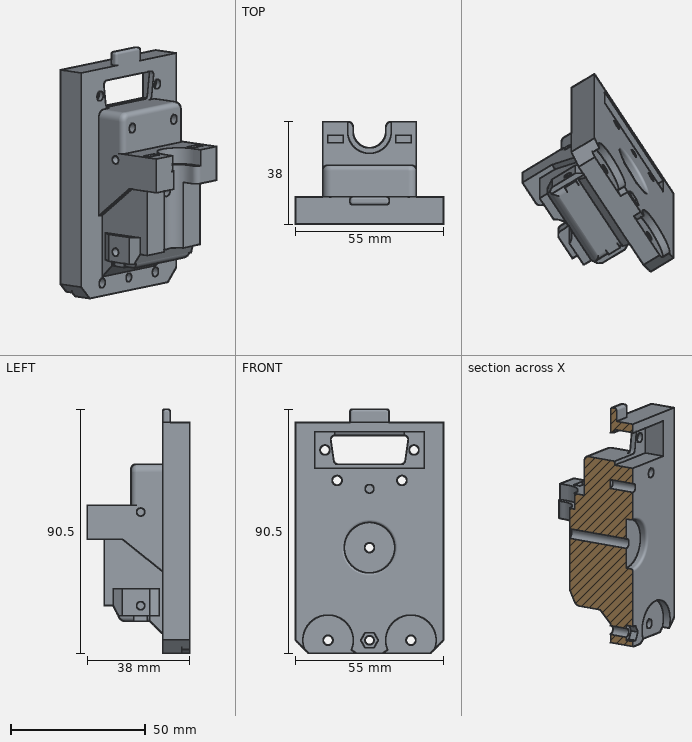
import cadquery as cq
import math

OVERSHOOT = 1.0

PLATE_WIDTH = 55.0
PLATE_HEIGHT = 85.6
PLATE_THICKNESS = 10.1
PLATE_CORNER_CHAMFER = 5.0
FRONT_Y = -PLATE_THICKNESS

TAB_WIDTH = 14.5
TAB_HEIGHT = 4.9
TAB_THICKNESS = 2.9
TAB_ROUNDING = 0.95

RECESS_WIDTH = 40.4
RECESS_HEIGHT = 13.5
RECESS_DEPTH = 8.0
RECESS_CENTER_Z = 75.4
WINDOW_TOP_WIDTH = 29.1
WINDOW_BOTTOM_WIDTH = 26.0
WINDOW_BOTTOM_Z = 70.15
WINDOW_TOP_Z = 80.75
WINDOW_CORNER_RADIUS = 1.5
WINDOW_LIP_RADIUS = 1.3
WINDOW_LIP_WIDTH = 25.6

SCREW_DIAMETER = 3.5
CONNECTOR_HOLE_SPACING = 33.0
UPPER_HOLE_SPACING = 24.0
UPPER_HOLE_Z = 64.1
PIN_HOLE_DIAMETER = 3.2
PIN_HOLE_Z = 61.0
PIN_HOLE_DEPTH = PLATE_THICKNESS

DISC_DIAMETER = 18.7
DISC_DEPTH = 3.0
CENTER_DISC_Z = 39.2
CENTER_DISC_LIP_RADIUS = 1.0
FOOT_DISC_SPACING = 30.7
FOOT_Z = 4.9
FOOT_TONGUE_WIDTH = 15.4
FOOT_TONGUE_CENTER_Z = 9.9
FOOT_TONGUE_RADIUS = 10.9
FOOT_TONGUE_CORNER_Z = 1.5
NUT_ACROSS_CORNERS = 6.5
NUT_DEPTH = 3.0

HOUSING_WIDTH = 34.8
HOUSING_TOP_Z = WINDOW_BOTTOM_Z
HOUSING_DEPTH = 11.75
HOUSING_SIDE_RADIUS = 3.0
HOUSING_REAR_RADIUS = 2.0
ARM_DEPTH = 27.9
ARM_TOP_Z = 55.0
ARM_BOTTOM_Z = 42.3
ARM_SLOPE_START_DEPTH = 14.85
ARM_SLOPE_END_Z = 30.4
SLOT_WIDTH = 5.7
SLOT_LENGTH = 2.7
SLOT_SPACING = 25.1
SLOT_CENTER_Y = 21.45
SLOT_DEPTH = 8.0

BLOCK_WIDTH = 30.6
BLOCK_DEPTH = 21.65
BLOCK_STEP_Z = 17.7
BLOCK_BOTTOM_Z = 11.9
BLOCK_REAR_SLOPE_TOP_Y = 18.3
BLOCK_ROUND_START = (16.4, 14.0)
BLOCK_ROUND_MIDDLE = (15.5, 12.6)
BLOCK_ROUND_END_Y = 14.2
BLOCK_FRONT_SLOPE_Y = 4.65
BLOCK_EDGE_RADIUS = 1.95
BLOCK_ROUNDED_EDGE_SPANS = ((BLOCK_FRONT_SLOPE_Y, 5.7), (10.7, BLOCK_DEPTH))

BOSS_BOTTOM_Z = 13.9
BOSS_TOP_Z = 24.0
BOSS_ROOT_Y = (1.3, 18.3)
BOSS_FACE_Y = (4.75, 14.85)

CHANNEL_RADIUS = 6.0
CHANNEL_SEAT_RADIUS = 8.1
CHANNEL_CENTER_Y = 24.2
CHANNEL_SEAT_DEPTH = 6.0

CROSS_HOLE_DIAMETER = 3.0
CROSS_HOLE_DEPTH = 8.0
CROSS_HOLE_Y = 8.1
CROSS_HOLE_HEIGHTS = (17.7, 52.4)


def box_between(x_range, y_range, z_range):
    size = [high - low for low, high in (x_range, y_range, z_range)]
    box = cq.Workplane("XY").box(*size, centered=False)
    return box.translate((x_range[0], y_range[0], z_range[0]))


def rod_y(x, z, diameter, start_y, end_y):
    """Cylinder along Y."""
    rod = cq.Workplane("XZ").circle(diameter / 2).extrude(start_y - end_y)
    return rod.translate((x, start_y, z))


def side_profile(profile, width):
    """Extrude a closed profile drawn in the YZ plane symmetrically along X."""
    return profile.extrude(width / 2, both=True)


def make_plate():
    plate = cq.Workplane("XY").box(PLATE_WIDTH, PLATE_THICKNESS, PLATE_HEIGHT)
    plate = plate.translate((0, FRONT_Y / 2, PLATE_HEIGHT / 2))
    corners = plate.faces("<Z").edges("|Y")
    return corners.chamfer(PLATE_CORNER_CHAMFER)


def make_tab():
    tab = cq.Workplane("XY").box(TAB_WIDTH, TAB_THICKNESS, TAB_HEIGHT)
    tab = tab.edges("|Z or >Z").fillet(TAB_ROUNDING)
    return tab.translate((0, -TAB_THICKNESS / 2, PLATE_HEIGHT + TAB_HEIGHT / 2))


def make_housing():
    core = box_between(
        (-HOUSING_WIDTH / 2, HOUSING_WIDTH / 2),
        (0, HOUSING_DEPTH),
        (ARM_BOTTOM_Z, HOUSING_TOP_Z),
    )
    core = core.edges("|Y and >Z").fillet(HOUSING_SIDE_RADIUS)
    core = core.faces(">Y").edges("not <Z").fillet(HOUSING_REAR_RADIUS)
    arm = side_profile(
        cq.Workplane("YZ")
        .moveTo(0, ARM_TOP_Z)
        .lineTo(ARM_DEPTH, ARM_TOP_Z)
        .lineTo(ARM_DEPTH, ARM_BOTTOM_Z)
        .lineTo(ARM_SLOPE_START_DEPTH, ARM_BOTTOM_Z)
        .lineTo(0, ARM_SLOPE_END_Z)
        .close(),
        HOUSING_WIDTH,
    )
    return core.union(arm)


def block_outline(width):
    """Lower block shape: stepped rear, rounded heel and 45 degree front slope."""
    return side_profile(
        cq.Workplane("YZ")
        .moveTo(0, ARM_TOP_Z)
        .lineTo(BLOCK_DEPTH, ARM_TOP_Z)
        .lineTo(BLOCK_DEPTH, BLOCK_STEP_Z)
        .lineTo(BLOCK_REAR_SLOPE_TOP_Y, BLOCK_STEP_Z)
        .lineTo(*BLOCK_ROUND_START)
        .threePointArc(BLOCK_ROUND_MIDDLE, (BLOCK_ROUND_END_Y, BLOCK_BOTTOM_Z))
        .lineTo(BLOCK_FRONT_SLOPE_Y, BLOCK_BOTTOM_Z)
        .lineTo(0, BLOCK_BOTTOM_Z - BLOCK_FRONT_SLOPE_Y)
        .close(),
        width,
    )


def make_edge_rounding(start_y, end_y):
    """Cutter that rounds the bottom edge of the block at +X and -X."""
    half_width = BLOCK_WIDTH / 2
    center_x = half_width - BLOCK_EDGE_RADIUS
    center_z = BLOCK_BOTTOM_Z + BLOCK_EDGE_RADIUS
    corner = box_between(
        (center_x, half_width), (start_y, end_y), (BLOCK_BOTTOM_Z, center_z)
    )
    corner = corner.cut(rod_y(center_x, center_z, 2 * BLOCK_EDGE_RADIUS, start_y, end_y))
    return corner.union(corner.mirror("YZ"))


def make_block():
    block = block_outline(BLOCK_WIDTH)
    for start_y, end_y in BLOCK_ROUNDED_EDGE_SPANS:
        block = block.cut(make_edge_rounding(start_y, end_y))
    bosses = (
        cq.Workplane("XY")
        .workplane(offset=BOSS_BOTTOM_Z)
        .moveTo(-BLOCK_WIDTH / 2, BOSS_ROOT_Y[0])
        .lineTo(-HOUSING_WIDTH / 2, BOSS_FACE_Y[0])
        .lineTo(-HOUSING_WIDTH / 2, BOSS_FACE_Y[1])
        .lineTo(-BLOCK_WIDTH / 2, BOSS_ROOT_Y[1])
        .lineTo(BLOCK_WIDTH / 2, BOSS_ROOT_Y[1])
        .lineTo(HOUSING_WIDTH / 2, BOSS_FACE_Y[1])
        .lineTo(HOUSING_WIDTH / 2, BOSS_FACE_Y[0])
        .lineTo(BLOCK_WIDTH / 2, BOSS_ROOT_Y[0])
        .close()
        .extrude(BOSS_TOP_Z - BOSS_BOTTOM_Z)
    )
    return block.union(bosses.intersect(block_outline(HOUSING_WIDTH)))


def make_connector_cutter():
    floor_y = FRONT_Y + RECESS_DEPTH
    recess = box_between(
        (-RECESS_WIDTH / 2, RECESS_WIDTH / 2),
        (FRONT_Y - OVERSHOOT, floor_y),
        (RECESS_CENTER_Z - RECESS_HEIGHT / 2, RECESS_CENTER_Z + RECESS_HEIGHT / 2),
    )
    window = (
        cq.Workplane("XZ")
        .moveTo(-WINDOW_BOTTOM_WIDTH / 2, WINDOW_BOTTOM_Z)
        .lineTo(WINDOW_BOTTOM_WIDTH / 2, WINDOW_BOTTOM_Z)
        .lineTo(WINDOW_TOP_WIDTH / 2, WINDOW_TOP_Z)
        .lineTo(-WINDOW_TOP_WIDTH / 2, WINDOW_TOP_Z)
        .close()
        .extrude(PLATE_THICKNESS)
        .edges("|Y")
        .fillet(WINDOW_CORNER_RADIUS)
    )
    lip_end_y = floor_y + WINDOW_LIP_RADIUS
    lip_end_z = WINDOW_TOP_Z + WINDOW_LIP_RADIUS
    arc_offset = WINDOW_LIP_RADIUS * (1 - math.sqrt(0.5))
    lip = side_profile(
        cq.Workplane("YZ")
        .moveTo(floor_y, WINDOW_TOP_Z)
        .lineTo(lip_end_y, WINDOW_TOP_Z)
        .threePointArc(
            (floor_y + arc_offset, WINDOW_TOP_Z + arc_offset), (floor_y, lip_end_z)
        )
        .close(),
        WINDOW_LIP_WIDTH,
    )
    return recess.union(window).union(lip)


def make_center_disc_cutter():
    """Round recess whose front lip is rounded outward."""
    radius = DISC_DIAMETER / 2
    lip_y = FRONT_Y + CENTER_DISC_LIP_RADIUS
    floor_y = FRONT_Y + DISC_DEPTH
    arc_offset = CENTER_DISC_LIP_RADIUS * (1 - math.sqrt(0.5))
    profile = (
        cq.Workplane("XY")
        .moveTo(0, FRONT_Y)
        .lineTo(radius + CENTER_DISC_LIP_RADIUS, FRONT_Y)
        .threePointArc((radius + arc_offset, FRONT_Y + arc_offset), (radius, lip_y))
        .lineTo(radius, floor_y)
        .lineTo(0, floor_y)
        .close()
    )
    return profile.revolve(360, (0, 0, 0), (0, 1, 0)).translate((0, 0, CENTER_DISC_Z))


def make_foot_cutter():
    """Two round recesses that leave a tongue with arched lower corners between them."""
    floor_y = FRONT_Y + DISC_DEPTH
    cutter = box_between(
        (-FOOT_TONGUE_WIDTH / 2, FOOT_TONGUE_WIDTH / 2),
        (FRONT_Y, floor_y),
        (0, FOOT_TONGUE_CORNER_Z),
    )
    arch = rod_y(0, FOOT_TONGUE_CENTER_Z, 2 * FOOT_TONGUE_RADIUS, FRONT_Y, floor_y)
    cutter = cutter.cut(arch)
    for side in (-1, 1):
        disc = rod_y(side * FOOT_DISC_SPACING / 2, FOOT_Z, DISC_DIAMETER, FRONT_Y, floor_y)
        cutter = cutter.union(disc)
    return cutter


def make_nut_pocket():
    pocket = cq.Workplane("XZ").polygon(6, NUT_ACROSS_CORNERS).extrude(-NUT_DEPTH)
    return pocket.translate((0, FRONT_Y, FOOT_Z))


def channel_slot(radius, bottom_z, top_z):
    """U-shaped slot along Z, open to the rear."""
    rear_y = ARM_DEPTH + OVERSHOOT
    return (
        cq.Workplane("XY")
        .workplane(offset=bottom_z)
        .moveTo(-radius, rear_y)
        .lineTo(-radius, CHANNEL_CENTER_Y)
        .threePointArc((0, CHANNEL_CENTER_Y - radius), (radius, CHANNEL_CENTER_Y))
        .lineTo(radius, rear_y)
        .close()
        .extrude(top_z - bottom_z)
    )


def make_channel_cutter():
    """Rear channel: a wide seat at the top of the arm over a narrower throat."""
    throat = channel_slot(CHANNEL_RADIUS, 0, ARM_TOP_Z)
    seat = channel_slot(CHANNEL_SEAT_RADIUS, ARM_TOP_Z - CHANNEL_SEAT_DEPTH, ARM_TOP_Z)
    lip_radius = CHANNEL_SEAT_RADIUS - CHANNEL_RADIUS
    center_y = ARM_DEPTH - lip_radius
    lip = box_between(
        (CHANNEL_RADIUS, CHANNEL_SEAT_RADIUS),
        (center_y, ARM_DEPTH),
        (ARM_BOTTOM_Z, ARM_TOP_Z),
    )
    lip_round = cq.Workplane("XY").circle(lip_radius).extrude(ARM_TOP_Z)
    lip = lip.cut(lip_round.translate((CHANNEL_SEAT_RADIUS, center_y, 0)))
    return throat.union(seat).union(lip).union(lip.mirror("YZ"))


def cut_holes(body):
    through_holes = [(0, CENTER_DISC_Z, SCREW_DIAMETER), (0, FOOT_Z, PIN_HOLE_DIAMETER)]
    for spacing, z in (
        (CONNECTOR_HOLE_SPACING, RECESS_CENTER_Z),
        (UPPER_HOLE_SPACING, UPPER_HOLE_Z),
        (FOOT_DISC_SPACING, FOOT_Z),
    ):
        for side in (-1, 1):
            through_holes.append((side * spacing / 2, z, SCREW_DIAMETER))
    for x, z, diameter in through_holes:
        body = body.cut(rod_y(x, z, diameter, FRONT_Y, ARM_DEPTH))
    pin_end_y = FRONT_Y + PIN_HOLE_DEPTH
    body = body.cut(rod_y(0, PIN_HOLE_Z, PIN_HOLE_DIAMETER, FRONT_Y, pin_end_y))
    for z in CROSS_HOLE_HEIGHTS:
        hole = cq.Workplane("YZ").circle(CROSS_HOLE_DIAMETER / 2).extrude(CROSS_HOLE_DEPTH)
        hole = hole.translate((-HOUSING_WIDTH / 2, CROSS_HOLE_Y, z))
        body = body.cut(hole).cut(hole.mirror("YZ"))
    return body


def cut_slots(body):
    """Blind rectangular slots in the top of the arm."""
    for side in (-1, 1):
        slot = cq.Workplane("XY").box(SLOT_WIDTH, SLOT_LENGTH, SLOT_DEPTH)
        slot_z = ARM_TOP_Z - SLOT_DEPTH / 2
        body = body.cut(slot.translate((side * SLOT_SPACING / 2, SLOT_CENTER_Y, slot_z)))
    return body


body = make_plate().union(make_tab()).union(make_housing()).union(make_block())
for cutter in (
    make_connector_cutter(),
    make_center_disc_cutter(),
    make_foot_cutter(),
    make_nut_pocket(),
    make_channel_cutter(),
):
    body = body.cut(cutter)
body = cut_holes(body)
result = cut_slots(body)